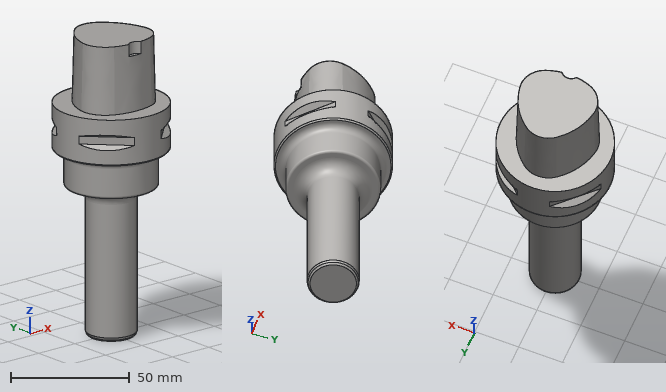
import cadquery as cq
import math

total_height = 133.0
taper_height = 29.9
flange_height = 20.5
collar_height = 16.2
flange_top = total_height - taper_height
flange_bottom = flange_top - flange_height
collar_bottom = flange_bottom - collar_height

flange_radius = 50.0 / 2
collar_radius = 40.0 / 2
shank_radius = 22.0 / 2
flange_chamfer = 0.7
flange_fillet = 2.9
collar_edge_radius = 1.0
shank_fillet = 5.6
shank_lead_in_width = 0.4
shank_lead_in_height = 1.0
shank_chamfer = 0.8

lobe_tip = 18.8
lobe_end = 17.7
flank_middle = 16.4
lobe_half_angle = 25.0
lobe_count = 3
lobe_spacing = 360 / lobe_count
taper_angle = math.degrees(math.atan(1 / 40))

notch_radius = 4.0
notch_center = 17.7
notch_depth = 5.3

groove_count = 4
groove_first_angle = 45.0
groove_floor = 22.1
groove_floor_height = 3.5
groove_middle = total_height - 40.0
groove_wall_angle = 30.0


def polar(radius, degrees):
    angle = math.radians(degrees)
    return (radius * math.cos(angle), radius * math.sin(angle))


def turned_body():
    """Flange, collar and shank revolved about Z."""
    lead_in_radius = shank_radius - shank_lead_in_width
    profile = (
        cq.Workplane("XZ")
        .moveTo(0, 0)
        .lineTo(lead_in_radius - shank_chamfer, 0)
        .lineTo(lead_in_radius, shank_chamfer)
        .lineTo(shank_radius, shank_chamfer + shank_lead_in_height)
        .lineTo(shank_radius, collar_bottom - shank_fillet)
        .radiusArc((shank_radius + shank_fillet, collar_bottom), shank_fillet)
        .lineTo(collar_radius - collar_edge_radius, collar_bottom)
        .radiusArc((collar_radius, collar_bottom + collar_edge_radius), -collar_edge_radius)
        .lineTo(collar_radius, flange_bottom - flange_fillet)
        .radiusArc((collar_radius + flange_fillet, flange_bottom), flange_fillet)
        .lineTo(flange_radius - flange_chamfer, flange_bottom)
        .lineTo(flange_radius, flange_bottom + flange_chamfer)
        .lineTo(flange_radius, flange_top)
        .lineTo(0, flange_top)
        .close()
    )
    return profile.revolve(360, (0, 0, 0), (0, 1, 0))


def lobed_taper():
    """Rounded triangle with one lobe toward +Y, narrowing upward."""
    outline = cq.Workplane("XY", origin=(0, 0, flange_top))
    outline = outline.moveTo(*polar(lobe_end, 90 - lobe_half_angle))
    for lobe in range(lobe_count):
        tip_angle = 90 + lobe * lobe_spacing
        next_lobe_start = tip_angle + lobe_spacing - lobe_half_angle
        outline = outline.threePointArc(
            polar(lobe_tip, tip_angle), polar(lobe_end, tip_angle + lobe_half_angle)
        )
        outline = outline.threePointArc(
            polar(flank_middle, tip_angle + lobe_spacing / 2), polar(lobe_end, next_lobe_start)
        )
    return outline.close().extrude(taper_height, taper=taper_angle)


def orientation_notch():
    return (
        cq.Workplane("XY", origin=(0, -notch_center, total_height - notch_depth))
        .circle(notch_radius)
        .extrude(notch_depth)
    )


def gripper_groove(angle):
    """Straight cut with a flat floor and walls that flare outward."""
    depth = flange_radius - groove_floor
    half_floor = groove_floor_height / 2
    half_mouth = half_floor + depth * math.tan(math.radians(groove_wall_angle))
    return (
        cq.Workplane("XZ")
        .moveTo(groove_floor, groove_middle - half_floor)
        .lineTo(flange_radius, groove_middle - half_mouth)
        .lineTo(flange_radius, groove_middle + half_mouth)
        .lineTo(groove_floor, groove_middle + half_floor)
        .close()
        .extrude(flange_radius, both=True)
        .rotate((0, 0, 0), (0, 0, 1), angle)
    )


result = turned_body().union(lobed_taper()).cut(orientation_notch())
for groove in range(groove_count):
    result = result.cut(gripper_groove(groove_first_angle + groove * 360 / groove_count))